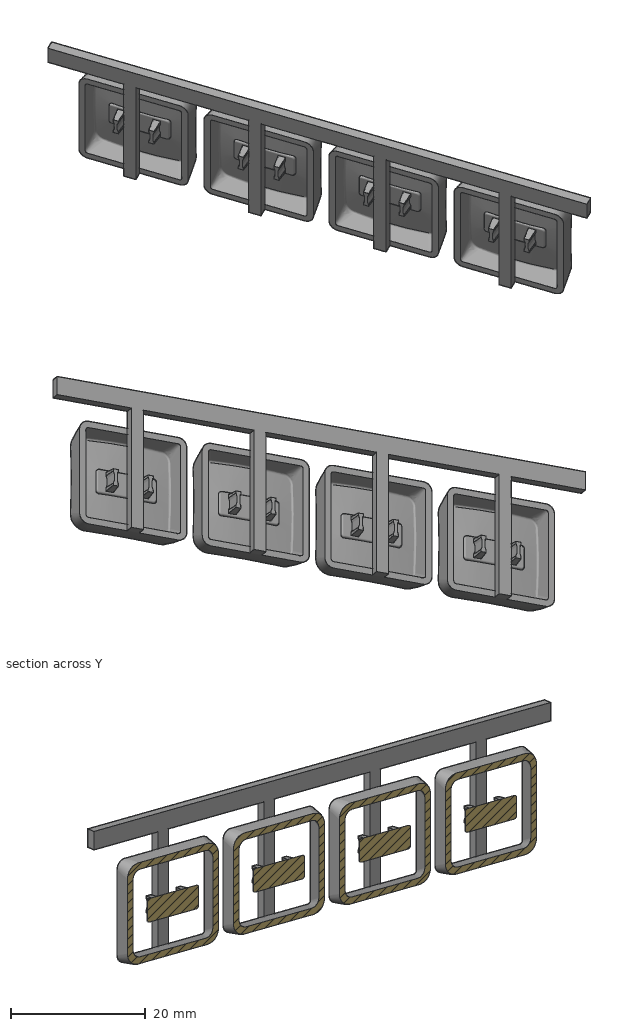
import cadquery as cq

RAIL_LENGTH = 86.4
RAIL_HEIGHT = 2.9
RUNNER_WIDTH = 2.0
SPRUE_THICKNESS = 1.5
TOTAL_HEIGHT = 22.1

CAP_COUNT = 4
CAP_PITCH = 20.0

CAP_WIDTH = 17.5
CAP_DEPTH = 16.5
RIM_CORNER_RADIUS = 1.5
CROWN_HEIGHT = 5.2
CROWN_WIDTH = 17.0
CROWN_DEPTH = 14.85
CROWN_CORNER_RADIUS = 2.9
WAIST_HEIGHT = CROWN_HEIGHT / 2
SIDE_BULGE = 0.2
DISH_RADIUS = 51.8
DISH_CENTRE_HEIGHT = 3.6
TOP_EDGE_RADIUS = 1.0

WALL = 1.0
CAVITY_CORNER_RADIUS = RIM_CORNER_RADIUS - WALL
CEILING_WIDTH = 14.7
CEILING_DEPTH = 13.5
CEILING_CORNER_RADIUS = 1.7
CEILING_EDGE_RADIUS = 0.3
ROOF_THICKNESS = 1.3

PAD_WIDTH = 9.85
PAD_DEPTH = 3.9
PAD_CORNER_RADIUS = 0.5
PAD_DROP = 0.2
PAD_EDGE_RADIUS = 0.3
LEG_SPACING = 5.7
LEG_WIDTH = 1.2
LEG_DEPTH = 3.0
LEG_LENGTH = 2.2
LEG_DRAFT_ANGLE = 5.0
GROOVE_DEPTH = 0.2
GROOVE_MOUTH = 1.9
GROOVE_FLOOR = 0.95

CEILING_HEIGHT = DISH_CENTRE_HEIGHT - ROOF_THICKNESS
PAD_HEIGHT = CEILING_HEIGHT - PAD_DROP


def section(width, depth, radius, height):
    """Rounded rectangle across the cap at a height above the rim."""
    outline = cq.Sketch().rect(width, depth).vertices().fillet(radius)
    return outline.moved(cq.Location(cq.Vector(0, 0, -height)))


def dish(centre_height):
    """Ball whose lowest point hangs over the cap centre."""
    return cq.Workplane("XY").sphere(DISH_RADIUS).translate((0, centre_height + DISH_RADIUS, 0))


def cap_body():
    waist = section(
        (CAP_WIDTH + CROWN_WIDTH) / 2,
        (CAP_DEPTH + CROWN_DEPTH) / 2 + 2 * SIDE_BULGE,
        (RIM_CORNER_RADIUS + CROWN_CORNER_RADIUS) / 2,
        WAIST_HEIGHT,
    )
    rim = section(CAP_WIDTH, CAP_DEPTH, RIM_CORNER_RADIUS, 0)
    crown = section(CROWN_WIDTH, CROWN_DEPTH, CROWN_CORNER_RADIUS, CROWN_HEIGHT)
    body = cq.Workplane("XZ").placeSketch(rim, waist, crown).loft()
    body = body.cut(dish(DISH_CENTRE_HEIGHT))
    return body.faces("%SPHERE").edges().fillet(TOP_EDGE_RADIUS)


def cavity():
    opening = section(CAP_WIDTH - 2 * WALL, CAP_DEPTH - 2 * WALL, CAVITY_CORNER_RADIUS, 0)
    ceiling = section(CEILING_WIDTH, CEILING_DEPTH, CEILING_CORNER_RADIUS, DISH_CENTRE_HEIGHT)
    room = cq.Workplane("XZ").placeSketch(opening, ceiling).loft()
    room = room.cut(dish(CEILING_HEIGHT))
    return room.faces("%SPHERE").edges().fillet(CEILING_EDGE_RADIUS)


def mount_leg():
    half_width = LEG_WIDTH / 2
    half_depth = LEG_DEPTH / 2
    groove_x = half_width - GROOVE_DEPTH
    right_flank = [
        (half_width, -half_depth),
        (half_width, -GROOVE_MOUTH / 2),
        (groove_x, -GROOVE_FLOOR / 2),
        (groove_x, GROOVE_FLOOR / 2),
        (half_width, GROOVE_MOUTH / 2),
        (half_width, half_depth),
    ]
    left_flank = [(-x, -z) for x, z in right_flank]
    return (
        cq.Workplane("XZ", origin=(0, PAD_HEIGHT, 0))
        .polyline(right_flank + left_flank)
        .close()
        .extrude(LEG_LENGTH, taper=LEG_DRAFT_ANGLE)
    )


def switch_mount():
    pad_outline = cq.Sketch().rect(PAD_WIDTH, PAD_DEPTH).vertices().fillet(PAD_CORNER_RADIUS)
    roof_level = cq.Workplane("XZ", origin=(0, DISH_CENTRE_HEIGHT, 0))
    mount = roof_level.placeSketch(pad_outline).extrude(DISH_CENTRE_HEIGHT - PAD_HEIGHT)
    mount = mount.faces("<Y").edges().fillet(PAD_EDGE_RADIUS)
    leg = mount_leg()
    for side in (-1, 1):
        mount = mount.union(leg.translate((side * LEG_SPACING / 2, 0, 0)))
    return mount


cap = cap_body().cut(cavity()).union(switch_mount())
cap = cap.translate((0, SPRUE_THICKNESS, CAP_DEPTH / 2))

rail = (
    cq.Workplane("XY")
    .box(RAIL_LENGTH, SPRUE_THICKNESS, RAIL_HEIGHT, centered=(True, False, False))
    .translate((0, 0, TOTAL_HEIGHT - RAIL_HEIGHT))
)
runner = cq.Workplane("XY").box(
    RUNNER_WIDTH, SPRUE_THICKNESS, TOTAL_HEIGHT, centered=(True, False, False)
)

result = rail
for index in range(CAP_COUNT):
    cap_x = (index - (CAP_COUNT - 1) / 2) * CAP_PITCH
    result = result.union(runner.translate((cap_x, 0, 0)))
    result = result.union(cap.translate((cap_x, 0, 0)))